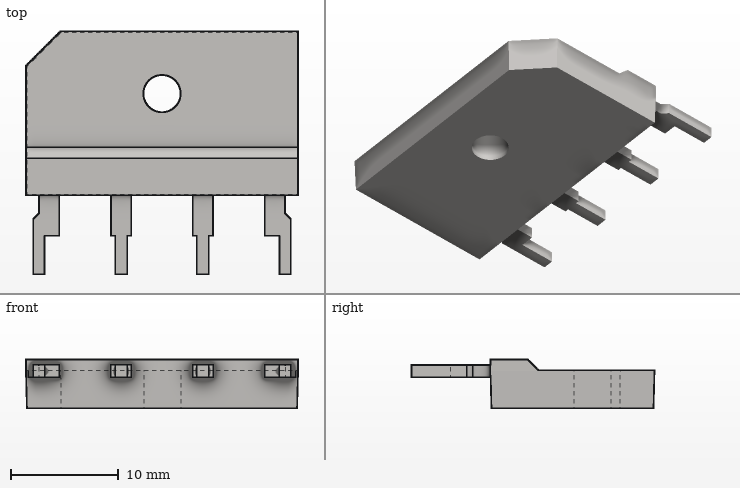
import cadquery as cq
import math

body_width = 25.3
body_depth = 15.25
parting_height = 3.47
lid_thickness = 0.08
corner_cut = 3.21
base_inset = 0.089
lid_top = parting_height + lid_thickness

bar_top = 4.55
bar_flat_depth = 3.47
bar_foot_depth = bar_flat_depth + bar_top - lid_top

hole_diameter = 3.45
hole_from_front = 9.45

lead_thickness = 1.16
lead_length = 7.34
shoulder_length = 3.75
shoulder_width = 1.9
inner_lead_x = 3.8
inner_tip_width = 1.15
outer_shoulder_inner_x = 9.55
outer_shoulder_outer_x = outer_shoulder_inner_x + shoulder_width
outer_tip_width = 1.05
outer_tip_outer_x = 11.97
outer_tip_inner_x = outer_tip_outer_x - outer_tip_width
jog_start = 1.65
jog_end = jog_start + outer_tip_outer_x - outer_shoulder_outer_x
lead_bottom = parting_height - lead_thickness / 2

pad_outer_x = 12.45
embed_depth = 0.5

half_width = body_width / 2
SIDES = (-1, 1)


def make_base():
    """Drafted lower half, widest at the parting plane, with the rear left corner cut."""
    draft_angle = math.degrees(math.atan(base_inset / parting_height))
    return body_outline(parting_height).extrude(-parting_height, taper=draft_angle)


def make_lid():
    """Thin straight-walled layer above the parting plane."""
    return body_outline(parting_height).extrude(lid_thickness)


def body_outline(height):
    return cq.Workplane("XY", origin=(0, 0, height)).polyline([
        (-half_width, 0),
        (half_width, 0),
        (half_width, body_depth),
        (-half_width + corner_cut, body_depth),
        (-half_width, body_depth - corner_cut),
    ]).close()


def make_bar():
    """Bar across the full width, drawn as its side profile."""
    profile = [
        (0, parting_height),
        (bar_foot_depth, parting_height),
        (bar_foot_depth, lid_top),
        (bar_flat_depth, bar_top),
        (0, bar_top),
    ]
    return cq.Workplane("YZ").polyline(profile).close().extrude(half_width, both=True)


def extrude_lead(outline):
    plane = cq.Workplane("XY", origin=(0, 0, lead_bottom))
    return plane.polyline(outline).close().extrude(lead_thickness)


def make_inner_lead(side):
    """Straight lead that narrows evenly to its tip; the root reaches into the body."""
    centre_x = side * inner_lead_x
    half_outline = [
        (shoulder_width / 2, embed_depth),
        (shoulder_width / 2, -shoulder_length),
        (inner_tip_width / 2, -shoulder_length),
        (inner_tip_width / 2, -lead_length),
    ]
    right_edge = [(centre_x + x, y) for x, y in half_outline]
    left_edge = [(centre_x - x, y) for x, y in reversed(half_outline)]
    return extrude_lead(right_edge + left_edge)


def make_outer_lead(side):
    """Lead that jogs outward to a tip near the side of the body."""
    outline = [
        (outer_shoulder_inner_x, embed_depth),
        (outer_shoulder_inner_x, -shoulder_length),
        (outer_tip_inner_x, -shoulder_length),
        (outer_tip_inner_x, -lead_length),
        (outer_tip_outer_x, -lead_length),
        (outer_tip_outer_x, -jog_end),
        (outer_shoulder_outer_x, -jog_start),
        (outer_shoulder_outer_x, embed_depth),
    ]
    return extrude_lead([(side * x, y) for x, y in outline])


def make_pad(side):
    """Block from the outer lead's inner edge almost to the side of the body."""
    centre_x = side * (outer_shoulder_inner_x + pad_outer_x) / 2
    return cq.Workplane("XY", origin=(centre_x, 0, lead_bottom)).box(
        pad_outer_x - outer_shoulder_inner_x,
        embed_depth,
        parting_height - lead_bottom,
        centered=(True, False, False),
    )


def make_hole():
    centre = (0, hole_from_front, 0)
    return cq.Workplane("XY", origin=centre).circle(hole_diameter / 2).extrude(lid_top)


result = make_base().union(make_lid()).union(make_bar())
for side in SIDES:
    result = result.union(make_pad(side))
    result = result.union(make_inner_lead(side))
    result = result.union(make_outer_lead(side))
result = result.cut(make_hole())